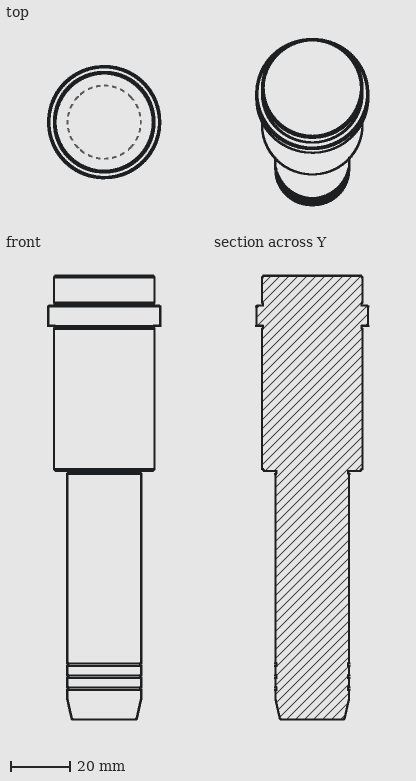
import cadquery as cq

total_height = 150.0
body_bottom = 84.0
flange_bottom = 133.0
flange_top = 140.0

flange_diameter = 38.0
body_diameter = 34.0
pin_diameter = 25.0
flange_radius = flange_diameter / 2
body_radius = body_diameter / 2
pin_radius = pin_diameter / 2

body_top_chamfer = 0.6
body_bottom_chamfer = 0.8
flange_chamfer = 0.5

relief_width = 0.7
relief_depth = 0.3
relief_slope = 0.3

lead_in_height = 7.0
tip_radius = 11.0
tip_round = 0.8

groove_count = 3
groove_pitch = 4.0
groove_width = 0.9
groove_depth = 0.3
lowest_groove_height = 10.5


def cylinder(radius, bottom, top):
    """Solid cylinder on the Z axis between two heights."""
    return cq.Workplane("XY").workplane(offset=bottom).circle(radius).extrude(top - bottom)


def relief(radius, shoulder, direction):
    """Ring cutter with a square wall at the shoulder and a sloped run-out away from it."""
    floor_radius = radius - relief_depth
    floor_end = shoulder + direction * (relief_width - relief_slope)
    run_out = shoulder + direction * relief_width
    return (
        cq.Workplane("XZ")
        .moveTo(floor_radius, shoulder)
        .lineTo(floor_radius, floor_end)
        .lineTo(radius, run_out)
        .lineTo(radius, shoulder)
        .close()
        .revolve(360, (0, 0, 0), (0, 1, 0))
    )


def ring_groove(center_height):
    """Ring cutter for a shallow square groove in the pin."""
    bottom = center_height - groove_width / 2
    top = center_height + groove_width / 2
    return cylinder(pin_radius, bottom, top).cut(cylinder(pin_radius - groove_depth, bottom, top))


shank = cylinder(pin_radius, lead_in_height, body_bottom)
lead_in = (
    cq.Workplane("XY")
    .circle(tip_radius)
    .workplane(offset=lead_in_height)
    .circle(pin_radius)
    .loft(ruled=True)
    .faces("<Z")
    .edges()
    .fillet(tip_round)
)

body = cylinder(body_radius, body_bottom, total_height)
body = body.faces(">Z").edges().chamfer(body_top_chamfer)
body = body.faces("<Z").edges().chamfer(body_bottom_chamfer)
flange = cylinder(flange_radius, flange_bottom, flange_top).faces(">Z").edges().chamfer(flange_chamfer)

body = body.cut(relief(body_radius, flange_top, 1.5))
body = body.cut(relief(body_radius, flange_bottom, -1.5))
shank = shank.cut(relief(pin_radius, body_bottom, -1.5))

for index in range(groove_count):
    shank = shank.cut(ring_groove(lowest_groove_height + index * groove_pitch))

result = shank.union(lead_in).union(body).union(flange)